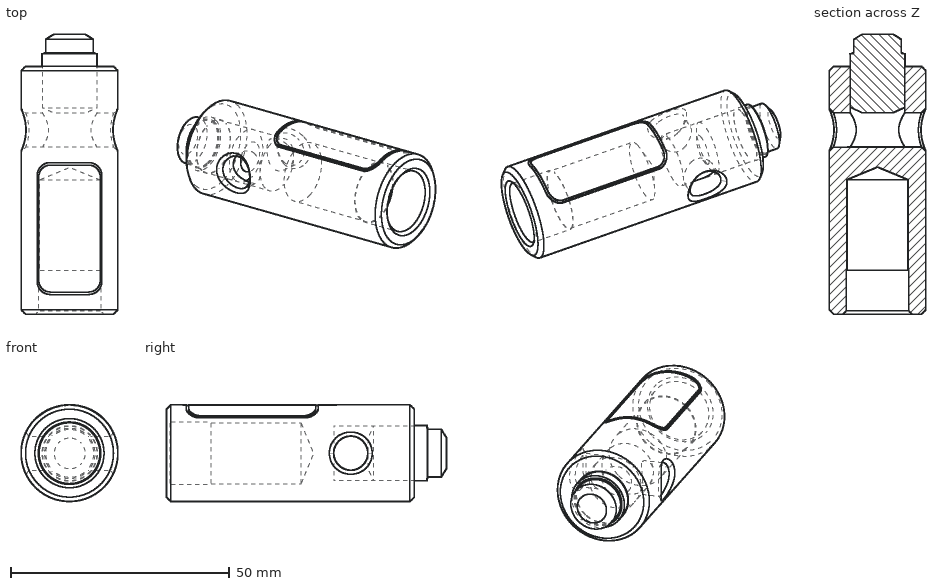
import cadquery as cq
LENGTH = 64.15
BODY_DIAMETER = 22.2
BODY_RADIUS = BODY_DIAMETER / 2
BODY_LENGTH = 56.8
EDGE_CHAMFER = 1.0

BORE_ENTRY_DIAMETER = 14.3
BORE_ENTRY_DEPTH = 10.15
BORE_MOUTH_CHAMFER = 0.8
ROD_BORE_DIAMETER = 13.9
ROD_BORE_DEPTH = 30.8
BORE_CONE_DEPTH = 2.9

CROSS_HOLE_DIAMETER = 7.75
CROSS_HOLE_Y = 42.2

SHANK_DIAMETER = 12.45
FLANGE_DIAMETER = 12.7
COLLAR_DIAMETER = 11.55
COLLAR_LENGTH = 0.2
HEAD_DIAMETER = 11.0
HEAD_LENGTH = 4.3
TIP_DIAMETER = 7.05
TIP_LENGTH = 1.2

PLUG_BORE_BOTTOM_Y = CROSS_HOLE_Y - CROSS_HOLE_DIAMETER / 2
SHANK_TIP_Y = CROSS_HOLE_Y + CROSS_HOLE_DIAMETER / 2

FRAME_WIDTH = 14.8
FRAME_LENGTH = 30.2
FRAME_CENTER_Y = 19.65
FRAME_CORNER_RADIUS = 3.0
FRAME_SIDE_GROOVE = 0.4
FRAME_END_GROOVE = 0.6
FRAME_DEPTH = 0.1


def turned(profile):
    """Revolve a closed (radius, Y) outline about the Y axis."""
    return cq.Workplane("XY").polyline(profile).close().revolve(360, (0, 0, 0), (0, 1, 0))


def make_body_blank():
    end_radius = BODY_RADIUS - EDGE_CHAMFER
    return turned([
        (0, 0),
        (end_radius, 0),
        (BODY_RADIUS, EDGE_CHAMFER),
        (BODY_RADIUS, BODY_LENGTH - EDGE_CHAMFER),
        (end_radius, BODY_LENGTH),
        (0, BODY_LENGTH),
    ])


def drill_cross_hole(body):
    """Drill the hole right through along X and chamfer both curved rims."""
    hole = (
        cq.Workplane("YZ")
        .center(CROSS_HOLE_Y, 0)
        .circle(CROSS_HOLE_DIAMETER / 2)
        .extrude(BODY_RADIUS, both=True)
    )
    reach = CROSS_HOLE_DIAMETER
    around_hole = cq.selectors.BoxSelector(
        (-BODY_DIAMETER, CROSS_HOLE_Y - reach, -reach),
        (BODY_DIAMETER, CROSS_HOLE_Y + reach, reach),
        boundingbox=True,
    )
    return body.cut(hole).edges(around_hole).edges("not #X").chamfer(EDGE_CHAMFER)


def make_rod_bore():
    entry_radius = BORE_ENTRY_DIAMETER / 2
    bore_radius = ROD_BORE_DIAMETER / 2
    return turned([
        (0, 0),
        (entry_radius + BORE_MOUTH_CHAMFER, 0),
        (entry_radius, BORE_MOUTH_CHAMFER),
        (entry_radius, BORE_ENTRY_DEPTH),
        (bore_radius, BORE_ENTRY_DEPTH),
        (bore_radius, ROD_BORE_DEPTH),
        (0, ROD_BORE_DEPTH + BORE_CONE_DEPTH),
    ])


def make_plug_bore():
    radius = SHANK_DIAMETER / 2
    return turned([
        (0, PLUG_BORE_BOTTOM_Y),
        (radius, PLUG_BORE_BOTTOM_Y),
        (radius, BODY_LENGTH),
        (0, BODY_LENGTH),
    ])


def rounded_block(width, length, corner_radius):
    """Upright block over the marking area, tall enough to pass the top of the body."""
    return (
        cq.Workplane("XY")
        .center(0, FRAME_CENTER_Y)
        .rect(width, length)
        .extrude(BODY_DIAMETER)
        .edges("|Z")
        .fillet(corner_radius)
    )


def make_frame_groove():
    """Rounded rectangular ring that follows the curved body surface at a constant depth."""
    outer = rounded_block(FRAME_WIDTH, FRAME_LENGTH, FRAME_CORNER_RADIUS)
    inner = rounded_block(
        FRAME_WIDTH - 2 * FRAME_SIDE_GROOVE,
        FRAME_LENGTH - 2 * FRAME_END_GROOVE,
        FRAME_CORNER_RADIUS - FRAME_SIDE_GROOVE,
    )
    core = cq.Workplane("XZ").circle(BODY_RADIUS - FRAME_DEPTH).extrude(-BODY_LENGTH)
    return outer.cut(inner).cut(core)


def make_housing():
    drilled = drill_cross_hole(make_body_blank())
    return drilled.cut(make_rod_bore()).cut(make_plug_bore()).cut(make_frame_groove())


def make_plug():
    shank_radius = SHANK_DIAMETER / 2
    flange_radius = FLANGE_DIAMETER / 2
    collar_radius = COLLAR_DIAMETER / 2
    head_radius = HEAD_DIAMETER / 2
    tip_radius = TIP_DIAMETER / 2
    head_base_y = LENGTH - HEAD_LENGTH
    flange_top_y = head_base_y - COLLAR_LENGTH
    return turned([
        (0, SHANK_TIP_Y),
        (tip_radius, SHANK_TIP_Y),
        (shank_radius, SHANK_TIP_Y + TIP_LENGTH),
        (shank_radius, BODY_LENGTH),
        (flange_radius, BODY_LENGTH),
        (flange_radius, flange_top_y),
        (collar_radius, flange_top_y),
        (collar_radius, head_base_y),
        (head_radius, head_base_y),
        (head_radius, LENGTH - TIP_LENGTH),
        (tip_radius, LENGTH),
        (0, LENGTH),
    ])


housing = make_housing()
plug = make_plug()

result = cq.Compound.makeCompound([housing.val(), plug.val()])